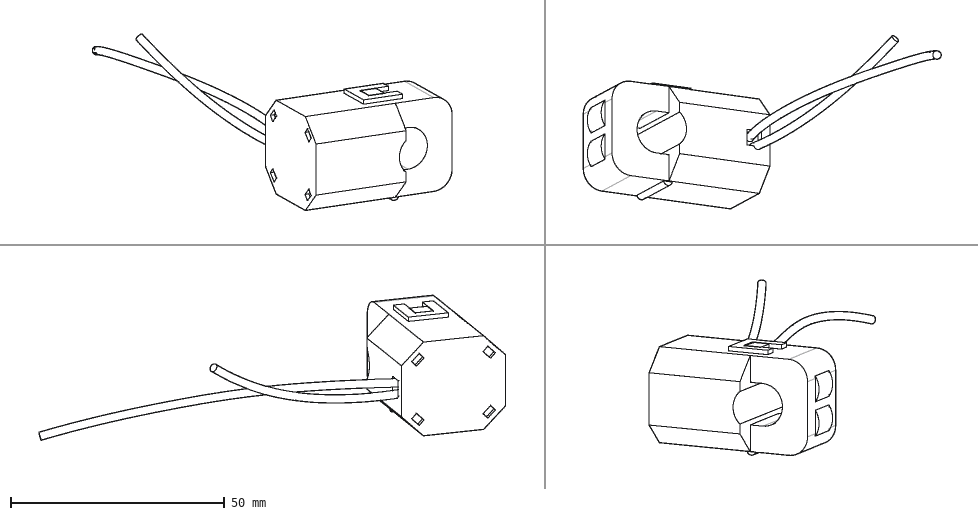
import cadquery as cq
import math

HOUSING_WIDTH = 26.0
HEIGHT = 23.0
HOUSING_DEPTH = 23.75
FLAT_WIDTH = 15.0
SIDE_FLAT_HEIGHT = 12.5

CAP_END_Y = 38.7
CAP_CORNER_RADIUS = 4.9
BORE_RADIUS = 5.1
BORE_Y = 27.05

LATCH_X = -0.2
LATCH_WIDTH = 10.0
LATCH_START_Y = 16.75
LATCH_LENGTH = 10.25
LATCH_SLOT_WIDTH = 4.5
LATCH_BRIDGE = 2.7
LATCH_THICKNESS = 1.05

TOOTH_GAP = 0.25
TOOTH_STEP_DOWN = 0.1

GRIP_WIDTH = 7.2
GRIP_HEIGHT = 6.2
GRIP_RISE = 1.0
GRIP_SPACING = 8.2

HINGE_RADIUS = 1.15
HINGE_LENGTH = 13.9
HINGE_DROP = 0.95

CLIP_LENGTH = 2.6
CLIP_WIDTH = 1.7
CLIP_DEPTH = 1.0
CLIP_X = 8.9
CLIP_Z = 7.3

SIDE_POCKET_SIZE = 3.8
SIDE_POCKET_DEPTH = 2.0
SIDE_POCKET_Y = 4.1
SIDE_POCKET_Z = 0.05

WIRE_RADIUS = 1.0
WIRE_EMBED = SIDE_POCKET_DEPTH + 1.0
WIRE_ROOT_X = WIRE_EMBED - HOUSING_WIDTH / 2
LONG_WIRE_POINTS = [
    (WIRE_ROOT_X, 4.1, 0.65),
    (-27.6, 6.1, 1.25),
    (-50.0, 3.3, 2.6),
    (-72.4, -0.95, 2.8),
    (-90.0, -1.25, 1.0),
    (-102.58, 1.5, -2.05),
]
SHORT_WIRE_POINTS = [
    (WIRE_ROOT_X, 3.4, -1.5),
    (-27.6, 1.85, -0.85),
    (-44.4, -1.4, 3.2),
    (-55.6, -4.9, 8.55),
    (-62.7, -7.73, 13.22),
]


def make_housing():
    """Octagonal prism running along Y."""
    side_x = HOUSING_WIDTH / 2
    top_z = HEIGHT / 2
    flat_x = FLAT_WIDTH / 2
    flat_z = SIDE_FLAT_HEIGHT / 2
    outline = [
        (-flat_x, -top_z),
        (flat_x, -top_z),
        (side_x, -flat_z),
        (side_x, flat_z),
        (flat_x, top_z),
        (-flat_x, top_z),
        (-side_x, flat_z),
        (-side_x, -flat_z),
    ]
    return cq.Workplane("XZ").polyline(outline).close().extrude(-HOUSING_DEPTH)


def make_cap():
    """Block behind the housing with its two rear edges rounded."""
    length = CAP_END_Y - HOUSING_DEPTH
    return (
        cq.Workplane("XY")
        .box(FLAT_WIDTH, length, HEIGHT)
        .translate((0, HOUSING_DEPTH + length / 2, 0))
        .edges(">Y and |X")
        .fillet(CAP_CORNER_RADIUS)
    )


def make_bore():
    """Conductor bore along X, widened to a U-shaped mouth within the cap."""
    bore = (
        cq.Workplane("YZ")
        .center(BORE_Y, 0)
        .circle(BORE_RADIUS)
        .extrude(HOUSING_WIDTH, both=True)
    )
    mouth_length = BORE_Y - HOUSING_DEPTH
    mouth = (
        cq.Workplane("XY")
        .box(HOUSING_WIDTH, mouth_length, 2 * BORE_RADIUS)
        .translate((0, HOUSING_DEPTH + mouth_length / 2, 0))
    )
    return bore.union(mouth)


def make_latch():
    """U-shaped tab, open toward +Y, standing on the top face."""
    base_z = HEIGHT / 2
    slot_length = LATCH_LENGTH - LATCH_BRIDGE
    tab = cq.Workplane("XY").box(
        LATCH_WIDTH, LATCH_LENGTH, LATCH_THICKNESS, centered=(True, False, False)
    )
    slot = (
        cq.Workplane("XY")
        .box(LATCH_SLOT_WIDTH, slot_length, LATCH_THICKNESS, centered=(True, False, False))
        .translate((0, LATCH_BRIDGE, 0))
    )
    return tab.cut(slot).translate((LATCH_X, LATCH_START_Y, base_z))


def make_tooth():
    """Tooth that fills the latch slot from the housing's rear edge almost to the bridge."""
    start_y = LATCH_START_Y + LATCH_BRIDGE + TOOTH_GAP
    return (
        cq.Workplane("XY")
        .box(
            LATCH_SLOT_WIDTH,
            HOUSING_DEPTH - start_y,
            LATCH_THICKNESS - TOOTH_STEP_DOWN,
            centered=(True, False, False),
        )
        .translate((LATCH_X, start_y, HEIGHT / 2))
    )


def make_grip(center_z):
    """Rib with an arc profile, rooted in the rear of the cap."""
    half_height = GRIP_HEIGHT / 2
    root_y = CAP_END_Y - GRIP_RISE
    return (
        cq.Workplane("YZ", origin=(LATCH_X, 0, center_z))
        .moveTo(root_y, -half_height)
        .lineTo(CAP_END_Y, -half_height)
        .threePointArc((CAP_END_Y + GRIP_RISE, 0), (CAP_END_Y, half_height))
        .lineTo(root_y, half_height)
        .close()
        .extrude(GRIP_WIDTH / 2, both=True)
    )


def make_hinge():
    """Pin along X that shows below the bottom face."""
    pin_z = HINGE_RADIUS - HINGE_DROP - HEIGHT / 2
    return (
        cq.Workplane("YZ")
        .center(HOUSING_DEPTH, pin_z)
        .circle(HINGE_RADIUS)
        .extrude(HINGE_LENGTH / 2, both=True)
    )


def make_clip_pocket(x_side, z_side):
    """Tilted rectangular pocket near one sloping side of the front face."""
    slope_x = (HOUSING_WIDTH - FLAT_WIDTH) / 2
    slope_z = (HEIGHT - SIDE_FLAT_HEIGHT) / 2
    tilt = math.degrees(math.atan2(slope_z, slope_x))
    return (
        cq.Workplane("XY")
        .box(CLIP_LENGTH, 2 * CLIP_DEPTH, CLIP_WIDTH)
        .rotate((0, 0, 0), (0, 1, 0), x_side * z_side * tilt)
        .translate((x_side * CLIP_X, 0, z_side * CLIP_Z))
    )


def make_side_pocket():
    """Square pocket in the -X face."""
    return (
        cq.Workplane("XY")
        .box(2 * SIDE_POCKET_DEPTH, SIDE_POCKET_SIZE, SIDE_POCKET_SIZE)
        .translate((-HOUSING_WIDTH / 2, SIDE_POCKET_Y, SIDE_POCKET_Z))
    )


def make_wire(points):
    """Round wire swept along a smooth curve through the given points."""
    path = cq.Workplane("XY").spline([cq.Vector(*point) for point in points])
    curve = path.val()
    start_plane = cq.Plane(origin=curve.startPoint(), normal=curve.tangentAt(0))
    return cq.Workplane(start_plane).circle(WIRE_RADIUS).sweep(path)


result = make_housing().union(make_cap()).cut(make_bore())
for side in (-1, 1):
    result = result.union(make_grip(side * GRIP_SPACING / 2))
result = result.union(make_latch()).union(make_tooth()).union(make_hinge())
for x_side in (-1, 1):
    for z_side in (-1, 1):
        result = result.cut(make_clip_pocket(x_side, z_side))
result = result.cut(make_side_pocket())
for wire_points in (LONG_WIRE_POINTS, SHORT_WIRE_POINTS):
    result = result.union(make_wire(wire_points))